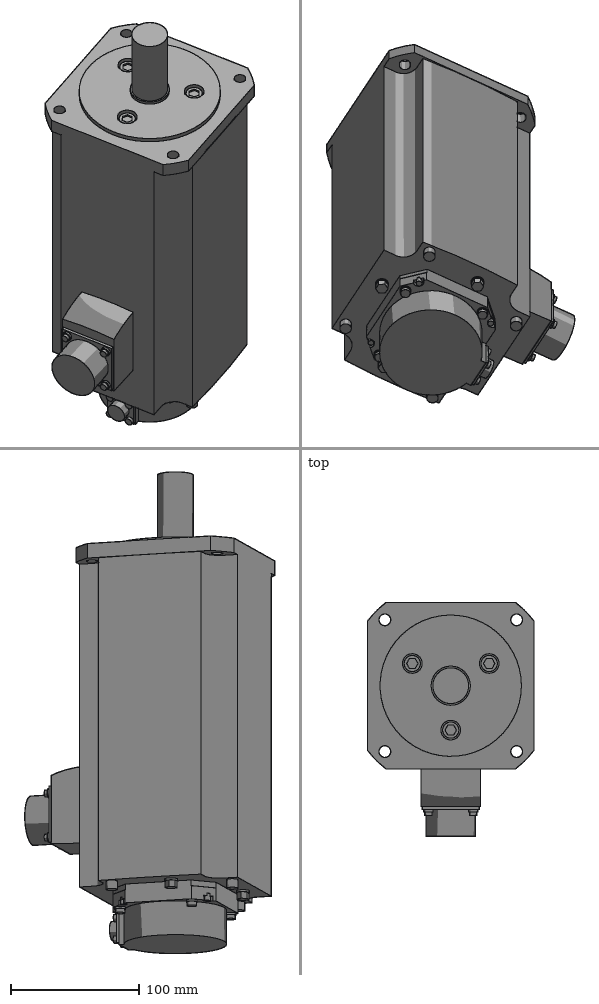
import cadquery as cq
import math

TOTAL_LENGTH = 372.0
BLOCK_BOTTOM = 26.8
BODY_BOTTOM = 41.5
FLANGE_BOTTOM = 297.5
FLANGE_TOP = 309.0
PILOT_TOP = 312.5
COLLAR_TOP = 314.7

FLANGE_SIZE = 130.0
HALF_FLANGE = FLANGE_SIZE / 2
FLANGE_CORNER_DIAMETER = 164.5
MOUNT_HOLE_DIAMETER = 9.0
MOUNT_HOLE_OFFSET = 51.5
PILOT_DIAMETER = 110.0
COLLAR_DIAMETER = 30.5
SHAFT_DIAMETER = 28.0

RECESS_CIRCLE_RADIUS = 34.5
RECESS_DIAMETER = 15.3
RECESS_DEPTH = 5.5
RECESS_COUNT = 3
CAP_DIAMETER = 12.5
CAP_HEIGHT = 3.7
SOCKET_DIAMETER = 9.0
SOCKET_DEPTH = 1.5

SIDE_BULGE = 1.5
SIDE_CENTRE = 64.7
NOTCH_EDGE = 42.0
NOTCH_FILLET = 12.3

BLOCK_SIZE = 85.0
BLOCK_CHAMFER = 15.3
CORNER_STEP = 0.5
CORNER_STEP_HEIGHT = 4.5

ENCODER_DIAMETER = 80.0
PAD_WIDTH = 24.0
PAD_FACE = BLOCK_SIZE / 2

BODY_SCREW_HEIGHT = 6.7
BODY_SCREW_DIAMETER = 9.0
BODY_SCREW_CENTRE = (33.0, 57.5)
HEX_SCREW_DIAMETER = 9.5
HEX_SCREW_CENTRE = (51.0, 13.5)
HEX_SCREW_COUNT = 3
HEX_WASHER_DIAMETER = 10.0
WASHER_THICKNESS = 1.5
ENCODER_SCREW_DIAMETER = 7.5
ENCODER_SCREW_HEIGHT = 4.5
ENCODER_WASHER_DIAMETER = 8.5
ENCODER_SCREW_CENTRE = (25.5, -37.0)
POCKET_CENTRE = (37.5, -31.5)
POCKET_DIAMETER = 8.0
POCKET_HEIGHT = 3.7
POCKET_SCREW_DIAMETER = 4.5
POCKET_SCREW_INSET = 1.0

SIGNAL_Z = 13.5
SIGNAL_PLATE_SIZE = 23.5
SIGNAL_PLATE_THICKNESS = 2.2
SIGNAL_PLUG_DIAMETER = 15.3
SIGNAL_PLUG_LENGTH = 7.0
SIGNAL_SCREW_OFFSET = 8.5
SIGNAL_SCREW_DIAMETER = 6.0
SIGNAL_SCREW_HEIGHT = 2.5

BOX_WIDTH = 46.5
BOX_DEPTH = 29.5
BOX_BOTTOM = 80.0
BOX_BOTTOM_RISE = 1.0
BOX_TOP = 142.0
BOX_TOP_DROP = 5.5
BOX_CROWN_RADIUS = 241.8
POWER_Z = 105.0
POWER_PLATE_SIZE = 44.5
POWER_PLATE_THICKNESS = 2.2
POWER_PLUG_DIAMETER = 38.7
POWER_SCREW_OFFSET = 17.5
POWER_WASHER_DIAMETER = 7.5
POWER_WASHER_THICKNESS = 2.0
POWER_SCREW_DIAMETER = 5.5
POWER_SCREW_HEIGHT = 4.5
TOTAL_DEPTH = 182.3

OVERLAP = 2.0

HEX_SIDES = 6


def cylinder(diameter, bottom, top, centre=(0, 0)):
    """Vertical cylinder between two heights."""
    base = cq.Workplane("XY", origin=(*centre, bottom))
    return base.circle(diameter / 2).extrude(top - bottom)


def forward_plane(y, z):
    """Workplane whose normal points toward -Y."""
    return cq.Workplane("XZ", origin=(0, y, z))


def corner_points(offset):
    """The four corners of a square with the given half side."""
    return [(sx * offset, sy * offset) for sx in (-1, 1) for sy in (-1, 1)]


def quarter_turns(point, count=4):
    """The point repeated by quarter turns about the motor axis."""
    x, y = point
    points = []
    for _ in range(count):
        points.append((x, y))
        x, y = -y, x
    return points


def make_body():
    """Body with bulged side faces and filleted notches along its corners."""
    edge = SIDE_CENTRE - SIDE_BULGE
    section = (
        cq.Workplane("XY", origin=(0, 0, BODY_BOTTOM))
        .moveTo(-edge, -HALF_FLANGE)
        .lineTo(edge, -HALF_FLANGE)
        .lineTo(edge, -NOTCH_EDGE)
        .threePointArc((SIDE_CENTRE, 0), (edge, NOTCH_EDGE))
        .lineTo(edge, HALF_FLANGE)
        .lineTo(-edge, HALF_FLANGE)
        .lineTo(-edge, NOTCH_EDGE)
        .threePointArc((-SIDE_CENTRE, 0), (-edge, -NOTCH_EDGE))
        .close()
    )
    height = FLANGE_BOTTOM - BODY_BOTTOM
    notches = (
        cq.Workplane("XY", origin=(0, 0, BODY_BOTTOM))
        .pushPoints(corner_points(NOTCH_EDGE + HALF_FLANGE / 2))
        .rect(HALF_FLANGE, HALF_FLANGE)
        .extrude(height)
        .edges("|Z")
        .fillet(NOTCH_FILLET)
    )
    return section.extrude(height).cut(notches)


def make_flange():
    """Square flange with rounded corners, pilot, collar and shaft."""
    plate = (
        cq.Workplane("XY", origin=(0, 0, FLANGE_BOTTOM))
        .rect(FLANGE_SIZE, FLANGE_SIZE)
        .extrude(FLANGE_TOP - FLANGE_BOTTOM)
    )
    flange = plate.intersect(cylinder(FLANGE_CORNER_DIAMETER, FLANGE_BOTTOM, FLANGE_TOP))
    for centre in corner_points(MOUNT_HOLE_OFFSET):
        flange = flange.cut(cylinder(MOUNT_HOLE_DIAMETER, FLANGE_BOTTOM, FLANGE_TOP, centre))
    flange = flange.union(cylinder(PILOT_DIAMETER, FLANGE_BOTTOM, PILOT_TOP))
    flange = flange.union(cylinder(COLLAR_DIAMETER, FLANGE_BOTTOM, COLLAR_TOP))
    return flange.union(cylinder(SHAFT_DIAMETER, FLANGE_BOTTOM, TOTAL_LENGTH))


def add_recessed_screws(part):
    """Counterbores in the pilot face, each with a sunken socket screw."""
    floor = PILOT_TOP - RECESS_DEPTH
    cap_top = floor + CAP_HEIGHT
    for i in range(RECESS_COUNT):
        angle = math.radians(-90 + i * 360 / RECESS_COUNT)
        centre = (RECESS_CIRCLE_RADIUS * math.cos(angle), RECESS_CIRCLE_RADIUS * math.sin(angle))
        part = part.cut(cylinder(RECESS_DIAMETER, floor, PILOT_TOP, centre))
        socket = (
            cq.Workplane("XY", origin=(*centre, cap_top - SOCKET_DEPTH))
            .polygon(HEX_SIDES, SOCKET_DIAMETER)
            .extrude(SOCKET_DEPTH)
        )
        part = part.union(cylinder(CAP_DIAMETER, floor - OVERLAP, cap_top, centre).cut(socket))
    return part


def octagon(chamfer, bottom, top):
    """Square plate with chamfered vertical corners."""
    base = cq.Workplane("XY", origin=(0, 0, bottom)).rect(BLOCK_SIZE, BLOCK_SIZE)
    return base.extrude(top - bottom).edges("|Z").chamfer(chamfer)


def make_rear_block():
    """Octagonal plate with a small corner step and a screw pocket in each corner."""
    step = BODY_BOTTOM - CORNER_STEP_HEIGHT
    block = octagon(BLOCK_CHAMFER, BLOCK_BOTTOM, step)
    block = block.union(octagon(BLOCK_CHAMFER + CORNER_STEP, step, BODY_BOTTOM + OVERLAP))
    pocket_top = BLOCK_BOTTOM + POCKET_HEIGHT
    for x, y in quarter_turns(POCKET_CENTRE):
        block = block.cut(cylinder(POCKET_DIAMETER, BLOCK_BOTTOM, pocket_top, (x, y)))
        inner = (x - math.copysign(POCKET_SCREW_INSET, x), y - math.copysign(POCKET_SCREW_INSET, y))
        block = block.union(cylinder(POCKET_SCREW_DIAMETER, BLOCK_BOTTOM, pocket_top + OVERLAP, inner))
    return block


def make_encoder():
    """Round rear housing with a flat pad toward -Y."""
    housing = cylinder(ENCODER_DIAMETER, 0, BLOCK_BOTTOM + OVERLAP)
    pad = (
        cq.Workplane("XY")
        .center(0, -PAD_FACE / 2)
        .rect(PAD_WIDTH, PAD_FACE)
        .extrude(BLOCK_BOTTOM)
    )
    return housing.union(pad)


def add_rear_screws(part):
    """Screw heads hanging below the body and below the rear block."""
    bottom = BODY_BOTTOM - BODY_SCREW_HEIGHT
    top = BODY_BOTTOM + OVERLAP
    for centre in quarter_turns(BODY_SCREW_CENTRE):
        part = part.union(cylinder(BODY_SCREW_DIAMETER, bottom, top, centre))
    for centre in quarter_turns(HEX_SCREW_CENTRE, HEX_SCREW_COUNT):
        head = (
            cq.Workplane("XY", origin=(*centre, bottom))
            .polygon(HEX_SIDES, HEX_SCREW_DIAMETER)
            .extrude(top - bottom)
        )
        washer = cylinder(HEX_WASHER_DIAMETER, BODY_BOTTOM - WASHER_THICKNESS, top, centre)
        part = part.union(head).union(washer)
    seat_top = BLOCK_BOTTOM + OVERLAP
    for centre in quarter_turns(ENCODER_SCREW_CENTRE):
        head_bottom = BLOCK_BOTTOM - ENCODER_SCREW_HEIGHT
        part = part.union(cylinder(ENCODER_SCREW_DIAMETER, head_bottom, seat_top, centre))
        washer_bottom = BLOCK_BOTTOM - WASHER_THICKNESS
        part = part.union(cylinder(ENCODER_WASHER_DIAMETER, washer_bottom, seat_top, centre))
    return part


def make_signal_connector():
    """Small square plate with four screws and a round plug."""
    plate_face = -PAD_FACE - SIGNAL_PLATE_THICKNESS
    plate = (
        forward_plane(-PAD_FACE + OVERLAP, SIGNAL_Z)
        .rect(SIGNAL_PLATE_SIZE, SIGNAL_PLATE_SIZE)
        .extrude(SIGNAL_PLATE_THICKNESS + OVERLAP)
    )
    seat = forward_plane(plate_face + OVERLAP, SIGNAL_Z)
    plug = seat.circle(SIGNAL_PLUG_DIAMETER / 2).extrude(SIGNAL_PLUG_LENGTH + OVERLAP)
    screws = (
        seat.pushPoints(corner_points(SIGNAL_SCREW_OFFSET))
        .circle(SIGNAL_SCREW_DIAMETER / 2)
        .extrude(SIGNAL_SCREW_HEIGHT + OVERLAP)
    )
    return plate.union(plug).union(screws)


def make_power_box():
    """Terminal box with a drafted bottom and a crowned, forward-sloping top."""
    back = -HALF_FLANGE
    front = back - BOX_DEPTH
    shell = (
        cq.Workplane("YZ", origin=(-BOX_WIDTH / 2, 0, 0))
        .moveTo(back + OVERLAP, BOX_BOTTOM)
        .lineTo(back, BOX_BOTTOM)
        .lineTo(front, BOX_BOTTOM + BOX_BOTTOM_RISE)
        .lineTo(front, BOX_TOP)
        .lineTo(back + OVERLAP, BOX_TOP)
        .close()
        .extrude(BOX_WIDTH)
    )
    slope_radius = (BOX_DEPTH**2 + BOX_TOP_DROP**2) / (2 * BOX_TOP_DROP)
    half_angle = math.asin(BOX_DEPTH / slope_radius) / 2
    middle = (
        back - slope_radius * math.sin(half_angle),
        BOX_TOP - slope_radius * (1 - math.cos(half_angle)),
    )
    axis_z = BOX_TOP - BOX_CROWN_RADIUS
    barrel = (
        cq.Workplane("YZ")
        .moveTo(back + OVERLAP, axis_z)
        .lineTo(back + OVERLAP, BOX_TOP)
        .lineTo(back, BOX_TOP)
        .threePointArc(middle, (front, BOX_TOP - BOX_TOP_DROP))
        .lineTo(front, axis_z)
        .close()
        .revolve(360, (0, axis_z, 0), (1, axis_z, 0))
    )
    return shell.intersect(barrel)


def make_power_connector():
    """Square plate with four washered screws and a round plug."""
    box_face = -HALF_FLANGE - BOX_DEPTH
    plate_face = box_face - POWER_PLATE_THICKNESS
    plug_length = TOTAL_DEPTH - HALF_FLANGE + plate_face
    connector = (
        forward_plane(box_face + OVERLAP, POWER_Z)
        .rect(POWER_PLATE_SIZE, POWER_PLATE_SIZE)
        .extrude(POWER_PLATE_THICKNESS + OVERLAP)
    )
    seat = forward_plane(plate_face + OVERLAP, POWER_Z)
    connector = connector.union(seat.circle(POWER_PLUG_DIAMETER / 2).extrude(plug_length + OVERLAP))
    screw_seats = seat.pushPoints(corner_points(POWER_SCREW_OFFSET))
    washers = screw_seats.circle(POWER_WASHER_DIAMETER / 2).extrude(POWER_WASHER_THICKNESS + OVERLAP)
    heads = screw_seats.circle(POWER_SCREW_DIAMETER / 2).extrude(POWER_SCREW_HEIGHT + OVERLAP)
    return connector.union(washers).union(heads)


motor = make_body().union(make_flange())
motor = add_recessed_screws(motor)
motor = motor.union(make_encoder()).union(make_rear_block())
motor = add_rear_screws(motor)
motor = motor.union(make_signal_connector())
result = motor.union(make_power_box()).union(make_power_connector())